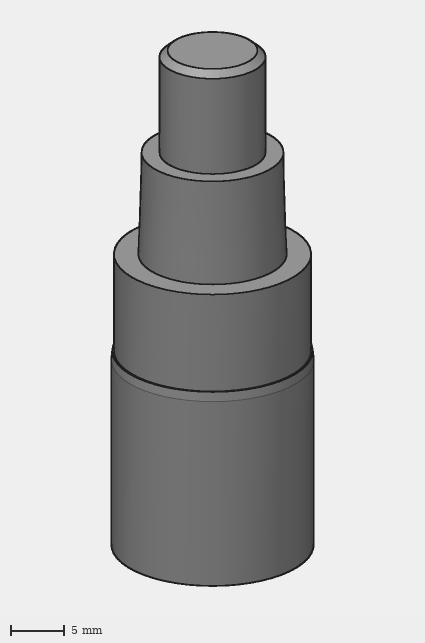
import cadquery as cq

total_height = 51.0
bevel_start_height = 19.05
base_height = 20.0
shoulder_height = 30.0
taper_top_height = 40.5

base_diameter = 19.05
base_top_diameter = 18.85
collar_diameter = 18.55
taper_bottom_diameter = 13.95
taper_top_diameter = 13.35
tip_diameter = 10.0

tip_bevel_width = 0.75
tip_bevel_height = 0.65


def revolve_profile(outline):
    """Revolve a closed (radius, height) outline around the Z axis."""
    return cq.Workplane("XZ").polyline(outline).close().revolve(360, (0, 0, 0), (0, 1, 0))


def make_base():
    """Plain cylinder with a slight lead-in bevel below its flat top."""
    return revolve_profile([
        (0, 0),
        (base_diameter / 2, 0),
        (base_diameter / 2, bevel_start_height),
        (base_top_diameter / 2, base_height),
        (0, base_height),
    ])


def make_plug():
    """Collar standing on the base, then a tapered neck and a bevelled tip."""
    tip_radius = tip_diameter / 2
    return revolve_profile([
        (0, base_height),
        (collar_diameter / 2, base_height),
        (collar_diameter / 2, shoulder_height),
        (taper_bottom_diameter / 2, shoulder_height),
        (taper_top_diameter / 2, taper_top_height),
        (tip_radius, taper_top_height),
        (tip_radius, total_height - tip_bevel_height),
        (tip_radius - tip_bevel_width, total_height),
        (0, total_height),
    ])


base = make_base()
plug = make_plug()
result = cq.Compound.makeCompound([base.val(), plug.val()])